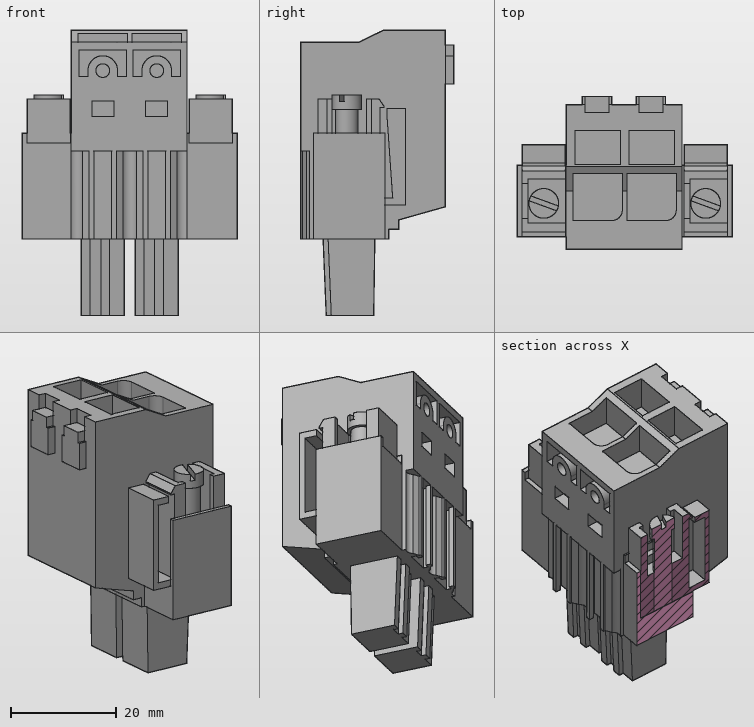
import cadquery as cq


POLE_PITCH = 10.2
POLE_CENTRES = [-POLE_PITCH / 2, POLE_PITCH / 2]

CORE_LEFT = -11.05
CORE_RIGHT = 10.85
CORE_WIDTH = CORE_RIGHT - CORE_LEFT
CORE_BACK = 27.35
CORE_TOP = 39.45
FRONT_TOP = 37.2
SLOPE_FRONT = 11.0
SLOPE_BACK = 15.65
BACK_BOTTOM = 6.1
UNDERSIDE_STEPS = [(18.55, 3.6), (18.55, 1.85), (16.65, 1.85), (16.65, 0)]

RIBS_TOP = 16.65
RIB_OUTER = 2.6
RIB_INNER = 1.65
RIB_LIP_DEPTH = 0.95
RIB_RECESS_DEPTH = 1.95
SLOPE_START_DEPTH = 0.4
SLOPE_END_DEPTH = 1.1
GROOVE_HALF_WIDTH = 1.3
GROOVE_DEPTH = 1.8

OPENING_FLOOR = 32.45
REAR_OPENING_WIDTH = 8.5
REAR_OPENING_FRONT = 16.05
REAR_OPENING_BACK = 22.5
FRONT_OPENING_WIDTH = 9.25
FRONT_OPENING_FRONT = 5.45
FRONT_OPENING_BACK = 14.35
FRONT_OPENING_RADIUS = 1.95

FACE_RECESS_WIDTH = 8.95
FACE_RECESS_BOTTOM = 30.7
FACE_RECESS_TOP = 35.7
FACE_RECESS_DEPTH = 4.85
BOSS_RADIUS = 2.8
BOSS_HOLE_RADIUS = 1.3
BOSS_CENTRE_Z = 31.8
WINDOW_WIDTH = 4.15
WINDOW_BOTTOM = 23.1
WINDOW_TOP = 26.1
WINDOW_DEPTH = 2.25

LEG_LENGTH = 14.45
LEG_HALF_WIDTH = 4.1
LEG_FRONT_TOP = 4.2
LEG_FRONT_BOTTOM = 4.8
LEG_BACK_TOP = 14.0
LEG_BACK_BOTTOM = 13.8
LEG_GROOVE_DEPTH = 0.95
LEG_GROOVES = [(-2.4, -0.4), (1.3, LEG_HALF_WIDTH)]

OVERALL_WIDTH = 40.6
FLANGE_OUTER = OVERALL_WIDTH / 2
FLANGE_WALL = 0.9
FLANGE_FRONT = 2.35
FLANGE_BACK = 15.9
FLANGE_TOP = 20.0
FLANGE_LIP = 18.15

INSERT_WIDTH = 8.2
INSERT_LEFTS = [-FLANGE_OUTER + FLANGE_WALL, FLANGE_OUTER - FLANGE_WALL - INSERT_WIDTH]
INSERT_FRONT = FLANGE_FRONT + FLANGE_WALL
INSERT_BACK = FLANGE_BACK - FLANGE_WALL
INSERT_MIDDLE = (INSERT_FRONT + INSERT_BACK) / 2
INSERT_BOTTOM = 6.45
INSERT_TOP = 26.45
INSERT_FLOOR = 16.1
INSERT_SIDE_WALL = 1.15
CHANNEL_LENGTH = 8.35
SIDE_SLOT_LENGTH = 6.5
SIDE_SLOT_FLOOR = FLANGE_LIP
HOOK_TIP = 15.75
HOOK_BOTTOM = 24.8
HOOK_TIP_TOP = 25.05
HOOK_TOP_BACK = 14.75
LATCH_BACK = 19.8
LATCH_WALL = 1.1
LATCH_TOP = 24.65
LATCH_ARM = 1.3
LATCH_ARM_TIP = 16.3
LATCH_WEB = 0.9
LATCH_WEB_FOOT = 17.35

SCREW_Y = 8.7
SCREW_TOP = 27.2
SCREW_HEAD_RADIUS = 2.8
SCREW_HEAD_HEIGHT = 2.8
SCREW_SHANK_RADIUS = 2.15
SCREW_SLOT_WIDTH = 0.95
SCREW_SLOT_DEPTH = 1.3
SCREW_SLOT_ANGLE = -20

BUTTON_OFFSET = -0.15
BUTTON_BOTTOM = 29.25
BUTTON_TOP = 36.65
BUTTON_BACK = 28.9
STEM_WIDTH = 4.55
STEM_FRONT = 25.85
PAD_WIDTH = 5.6
PAD_TOP = 34.6


def block(x_range, y_range, z_range):
    """Box between two positions on each axis."""
    size = [end - start for start, end in (x_range, y_range, z_range)]
    return cq.Workplane("XY").box(*size, centered=False).translate((x_range[0], y_range[0], z_range[0]))


def centred(centre, width):
    """Range of the given width about a centre."""
    return (centre - width / 2, centre + width / 2)


def side_profile(points, x_left, width):
    """Extrude a (Y, Z) outline along +X from x_left."""
    return cq.Workplane("YZ").polyline(points).close().extrude(width).translate((x_left, 0, 0))



def core():
    outline = [
        (0, 0),
        (0, FRONT_TOP),
        (SLOPE_FRONT, FRONT_TOP),
        (SLOPE_BACK, CORE_TOP),
        (CORE_BACK, CORE_TOP),
        (CORE_BACK, BACK_BOTTOM),
        *UNDERSIDE_STEPS,
    ]
    return side_profile(outline, CORE_LEFT, CORE_WIDTH)


def groove_between_poles(centre):
    """Two slopes that fall away from the ribs to a round-bottomed groove."""
    rib_side = POLE_PITCH / 2 - RIB_OUTER
    return (
        cq.Workplane("XY")
        .moveTo(centre - rib_side, 0)
        .lineTo(centre - rib_side, SLOPE_START_DEPTH)
        .lineTo(centre - GROOVE_HALF_WIDTH, SLOPE_END_DEPTH)
        .threePointArc((centre, GROOVE_DEPTH), (centre + GROOVE_HALF_WIDTH, SLOPE_END_DEPTH))
        .lineTo(centre + rib_side, SLOPE_START_DEPTH)
        .lineTo(centre + rib_side, 0)
        .close()
        .extrude(RIBS_TOP)
    )


def rib_recess(pole):
    """T-shaped slot between the ribs of a pole, wider behind the ribs."""
    heights = (0, RIBS_TOP)
    mouth = block(centred(pole, 2 * RIB_INNER), (0, RIB_LIP_DEPTH), heights)
    back = block(centred(pole, 2 * RIB_OUTER), (RIB_LIP_DEPTH, RIB_RECESS_DEPTH), heights)
    return mouth.union(back)


def top_openings(pole):
    rear = block(
        centred(pole, REAR_OPENING_WIDTH),
        (REAR_OPENING_FRONT, REAR_OPENING_BACK),
        (OPENING_FLOOR, CORE_TOP),
    )
    front = block(
        centred(pole, FRONT_OPENING_WIDTH),
        (FRONT_OPENING_FRONT, FRONT_OPENING_BACK),
        (OPENING_FLOOR, CORE_TOP),
    )
    front = front.edges("|Z and >X and <Y").fillet(FRONT_OPENING_RADIUS)
    return rear.union(front)


def face_recess(pole):
    """Recess in the front face that leaves a round-topped boss with a hole in it."""
    depth = (0, FACE_RECESS_DEPTH)
    recess = block(centred(pole, FACE_RECESS_WIDTH), depth, (FACE_RECESS_BOTTOM, FACE_RECESS_TOP))
    front_plane = cq.Workplane("XZ").center(pole, BOSS_CENTRE_Z)
    boss = front_plane.circle(BOSS_RADIUS).extrude(-FACE_RECESS_DEPTH)
    boss_foot = block(centred(pole, 2 * BOSS_RADIUS), depth, (FACE_RECESS_BOTTOM, BOSS_CENTRE_Z))
    hole = front_plane.circle(BOSS_HOLE_RADIUS).extrude(-FACE_RECESS_DEPTH)
    return recess.cut(boss).cut(boss_foot).union(hole)


def leg(pole):
    """Tapered plug leg with two grooves down its front that follow the taper."""
    outline = [
        (LEG_FRONT_TOP, 0),
        (LEG_BACK_TOP, 0),
        (LEG_BACK_BOTTOM, -LEG_LENGTH),
        (LEG_FRONT_BOTTOM, -LEG_LENGTH),
    ]
    groove_outline = [
        (LEG_FRONT_TOP, 0),
        (LEG_FRONT_TOP + LEG_GROOVE_DEPTH, 0),
        (LEG_FRONT_BOTTOM + LEG_GROOVE_DEPTH, -LEG_LENGTH),
        (LEG_FRONT_BOTTOM, -LEG_LENGTH),
    ]
    body = side_profile(outline, pole - LEG_HALF_WIDTH, 2 * LEG_HALF_WIDTH)
    for left, right in LEG_GROOVES:
        body = body.cut(side_profile(groove_outline, pole + left, right - left))
    return body


def insert_pocket(left):
    """Pocket open at the top and back of a flange, with a lowered lip in front."""
    across = (left, left + INSERT_WIDTH)
    pocket = block(across, (INSERT_FRONT, FLANGE_BACK), (INSERT_BOTTOM, FLANGE_TOP))
    lip = block(across, (FLANGE_FRONT, INSERT_FRONT), (FLANGE_LIP, FLANGE_TOP))
    return pocket.union(lip)


def make_housing():
    body = core()

    for groove_centre in (-POLE_PITCH, 0, POLE_PITCH):
        body = body.cut(groove_between_poles(groove_centre))

    for x_range in ((-FLANGE_OUTER, CORE_LEFT), (CORE_RIGHT, FLANGE_OUTER)):
        body = body.union(block(x_range, (FLANGE_FRONT, FLANGE_BACK), (0, FLANGE_TOP)))
    for left in INSERT_LEFTS:
        body = body.cut(insert_pocket(left))

    for pole in POLE_CENTRES:
        window = block(centred(pole, WINDOW_WIDTH), (0, WINDOW_DEPTH), (WINDOW_BOTTOM, WINDOW_TOP))
        button_slot = block(
            centred(pole + BUTTON_OFFSET, STEM_WIDTH),
            (STEM_FRONT, CORE_BACK),
            (BUTTON_BOTTOM, CORE_TOP),
        )
        body = body.cut(rib_recess(pole)).cut(window).cut(button_slot)
        body = body.cut(top_openings(pole)).cut(face_recess(pole))
        body = body.union(leg(pole))
    return body



def make_insert(left):
    """Open-topped screw channel with a hooked back plate and a C-shaped latch behind it."""
    right = left + INSERT_WIDTH
    outline = [
        (INSERT_FRONT, INSERT_BOTTOM),
        (INSERT_FRONT, INSERT_TOP),
        (HOOK_TOP_BACK, INSERT_TOP),
        (HOOK_TIP, HOOK_TIP_TOP),
        (HOOK_TIP, HOOK_BOTTOM),
        (INSERT_BACK, HOOK_BOTTOM),
        (INSERT_BACK, INSERT_BOTTOM + LATCH_ARM),
        (LATCH_BACK - LATCH_WALL, INSERT_BOTTOM + LATCH_ARM),
        (LATCH_BACK - LATCH_WALL, LATCH_TOP - LATCH_ARM),
        (LATCH_ARM_TIP, LATCH_TOP - LATCH_ARM),
        (LATCH_ARM_TIP, LATCH_TOP),
        (LATCH_BACK, LATCH_TOP),
        (LATCH_BACK, INSERT_BOTTOM),
    ]
    web_outline = [
        (LATCH_BACK - LATCH_WALL, INSERT_BOTTOM + LATCH_ARM),
        (LATCH_BACK - LATCH_WALL, LATCH_TOP - LATCH_ARM),
        (LATCH_ARM_TIP, LATCH_TOP - LATCH_ARM),
        (LATCH_WEB_FOOT, INSERT_BOTTOM + LATCH_ARM),
    ]
    body = side_profile(outline, left, INSERT_WIDTH)
    web = side_profile(web_outline, right - LATCH_WEB, LATCH_WEB)

    channel = block(
        (left + INSERT_SIDE_WALL, right),
        centred(INSERT_MIDDLE, CHANNEL_LENGTH),
        (INSERT_FLOOR, INSERT_TOP),
    )
    side_slot = block(
        (left, left + INSERT_SIDE_WALL),
        centred(INSERT_MIDDLE, SIDE_SLOT_LENGTH),
        (SIDE_SLOT_FLOOR, INSERT_TOP),
    )
    screw_hole = (
        cq.Workplane("XY", origin=(left + INSERT_WIDTH / 2, SCREW_Y, INSERT_BOTTOM))
        .circle(SCREW_SHANK_RADIUS)
        .extrude(INSERT_FLOOR - INSERT_BOTTOM)
    )
    return body.union(web).cut(channel).cut(side_slot).cut(screw_hole)



def make_screw(insert_left):
    head_bottom = SCREW_TOP - SCREW_HEAD_HEIGHT
    shank = (
        cq.Workplane("XY", origin=(0, 0, INSERT_BOTTOM))
        .circle(SCREW_SHANK_RADIUS)
        .extrude(head_bottom - INSERT_BOTTOM)
    )
    head = (
        cq.Workplane("XY", origin=(0, 0, head_bottom))
        .circle(SCREW_HEAD_RADIUS)
        .extrude(SCREW_HEAD_HEIGHT)
    )
    slot_length = 3 * SCREW_HEAD_RADIUS
    slot = block(
        centred(0, slot_length),
        centred(0, SCREW_SLOT_WIDTH),
        (SCREW_TOP - SCREW_SLOT_DEPTH, SCREW_TOP),
    ).rotate((0, 0, 0), (0, 0, 1), SCREW_SLOT_ANGLE)
    screw = shank.union(head).cut(slot)
    return screw.translate((insert_left + INSERT_WIDTH / 2, SCREW_Y, 0))



def make_button(pole):
    """Stem that fills the slot in the housing, with a wider pad behind the back face."""
    centre = pole + BUTTON_OFFSET
    stem = block(centred(centre, STEM_WIDTH), (STEM_FRONT, BUTTON_BACK), (BUTTON_BOTTOM, BUTTON_TOP))
    pad = block(centred(centre, PAD_WIDTH), (CORE_BACK, BUTTON_BACK), (BUTTON_BOTTOM, PAD_TOP))
    return stem.union(pad)


housing = make_housing()
inserts = [make_insert(left) for left in INSERT_LEFTS]
screws = [make_screw(left) for left in INSERT_LEFTS]
buttons = [make_button(pole) for pole in POLE_CENTRES]

bodies = [housing, *inserts, *screws, *buttons]
result = cq.Compound.makeCompound([body.val() for body in bodies])